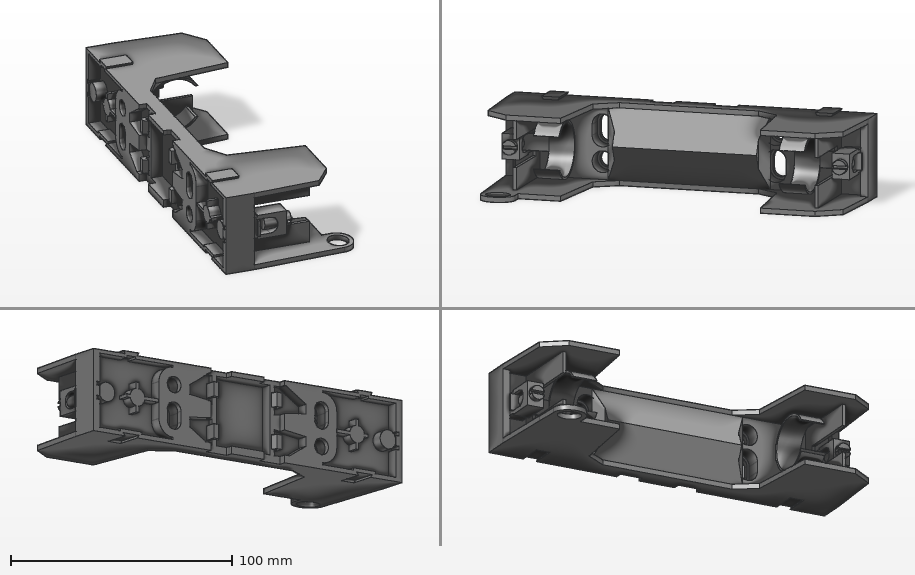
import cadquery as cq
LENGTH = 171.5
HEIGHT = 38.3
HALF_LENGTH = LENGTH / 2
MID_Z = HEIGHT / 2
SIDES = (-1, 1)

BASE_DEPTH = 10.5
PLATE_THICKNESS = 2.4
WING_DEPTH = 53.9
TAPER_START = 13.9
END_WALL_THICKNESS = 3.5
WING_CORNER = (84.15, 46.0)
WING_OUTER_X = 73.3
WING_INNER_X = 47.4
WING_FOOT = (43.5, 17.2)
SADDLE_HALF_WIDTH = 33.0

PARTITION_X = 71.46
PARTITION_THICKNESS = 1.5
PARTITION_DEPTH = 46.0
PARTITION_SLOT = 12.9

RIDGE_DEPTH = 17.7
RIDGE_HALF_LENGTH = 34.1
RIDGE_SHOULDER_DEPTH = 14.8

EYELET_X = 75.5
EYELET_END_Y = 65.5
EYELET_HALF_WIDTH = 8.0
EYELET_HALF_DEPTH = 6.9
EYELET_HOLE_HALF_WIDTH = 5.7
EYELET_HOLE_HALF_DEPTH = 4.8
EYELET_Y = EYELET_END_Y - EYELET_HALF_DEPTH

POCKET_DEPTH = 5.8
POCKET_INNER_X = 41.7
POCKET_BOTTOM = 2.0
POCKET_TOP = 36.5
PLATFORM_X = 49.4
PLATFORM_BOTTOM = 3.1
PLATFORM_TOP = 35.7
PLATFORM_CORNER_RADIUS = 7.7
WALL_NOTCH_DEPTH = 1.5
WALL_NOTCH_WIDTH = 8.2
WALL_NOTCH_RIB = 4.8

BOSS_X = 78.2
BOSS_RADIUS = 4.5
BOSS_SETBACK = 0.3
CROSS_X = 61.0
CROSS_RADIUS = 4.1
CROSS_FIN_REACH = 7.0
CROSS_END_FIN_REACH = 6.0
FIN_THICKNESS = 1.5

MOUNT_X = 41.0
MOUNT_RADIUS = 3.8
ROUND_HOLE_OFFSET = 8.5
SLOT_OFFSET = 5.8
SLOT_LENGTH = 12.7
MOUNT_PLATE_THICKNESS = 2.5
MOUNT_COUNTERBORE = 1.2

RECESS_DEPTH = 3.6
RECESS_OUTER_X = 20.5
RECESS_INNER_X = 9.5
RECESS_LIP_X = 9.1
RECESS_LIP_DEPTH = 1.9
CENTRE_POCKET_HALF_WIDTH = 14.8
CENTRE_POCKET_DEPTH = 9.1
CENTRE_POCKET_BOTTOM = 3.6
CENTRE_POCKET_TOP = 36.0
HOOK_OUTER_X = 18.9
HOOK_INNER_X = 17.5
HOOK_TIP_X = 14.8
HOOK_END_X = 16.1
HOOK_UNDERCUT_DEPTH = 2.2
HOOK_OFFSET = 9.8
HOOK_WIDTH = 6.7
HOOK_POCKET_INNER_X = 17.3
HOOK_POCKET_OUTER_X = 32.3
HOOK_POCKET_SLOPE = 0.64
HOOK_POCKET_NEAR = 3.5
HOOK_POCKET_FAR_NEAR = 5.3
HOOK_POCKET_FAR = 9.8

DOVETAIL_X = 64.9
DOVETAIL_HEIGHT = 1.4
DOVETAIL_LENGTH = 13.0
DOVETAIL_HALF_WIDTH = 4.3
DOVETAIL_NECK_HALF_WIDTH = 3.5
DOVETAIL_RELIEF_WIDTH = 4.5
DOVETAIL_RELIEF_HEIGHT = 1.0
SOCKET_PAD_HALF_WIDTH = 6.0
SOCKET_PAD_TOP = 3.1

CAGE_LENGTH = 2 * (HALF_LENGTH - END_WALL_THICKNESS - BOSS_X)
CAGE_WIDTH = 11.8
CAGE_DEPTH = 30.9
CAGE_FOOT_WIDTH = 10.5
CAGE_FOOT_DEPTH = 16.8
CAGE_OPENING_WIDTH = 7.9
CAGE_OPENING_END = 26.8
SCREW_DIAMETER = 6.7
SCREW_START = 20.6
SCREW_END = 33.6
SCREW_SLOT_WIDTH = 1.5
SCREW_SLOT_DEPTH = 2.0
BAR_WIDTH = CAGE_OPENING_WIDTH
BAR_THICKNESS = 1.0
BAR_START = 16.5
BAR_OUTER_X = 83.9

CLIP_INNER_X = 52.2
CLIP_LENGTH = 12.0
CLIP_OUTER_RADIUS = 13.5
CLIP_INNER_RADIUS = CLIP_OUTER_RADIUS - BAR_THICKNESS
CLIP_Y = BAR_START + CLIP_OUTER_RADIUS
CLIP_MOUTH = 15.5


def block(x_range, y_range, z_range):
    """Box between two limits along each axis, given in either order."""
    lows = [min(limits) for limits in (x_range, y_range, z_range)]
    sizes = [abs(limits[1] - limits[0]) for limits in (x_range, y_range, z_range)]
    return cq.Workplane("XY").box(*sizes, centered=False).translate(tuple(lows))


def centred(middle, width):
    """Limits of a span of the given width about its middle."""
    return (middle - width / 2, middle + width / 2)


def front_profile(y_start, y_end):
    """Workplane in X and Z at y_start, with the distance that extrudes it to y_end."""
    return cq.Workplane("XZ", origin=(0, y_start, 0)), y_start - y_end


def post(x, z, radius, y_start, y_end):
    """Round bar along Y."""
    plane, distance = front_profile(y_start, y_end)
    return plane.center(x, z).circle(radius).extrude(distance)


def prism(points, y_start, y_end):
    """Polygon in X and Z drawn out along Y."""
    plane, distance = front_profile(y_start, y_end)
    return plane.polyline(points).close().extrude(distance)


def side_plate(z_bottom):
    """U-shaped side plate with two tapered wings."""
    half = [
        (HALF_LENGTH, 0),
        (HALF_LENGTH, TAPER_START),
        WING_CORNER,
        (WING_OUTER_X, WING_DEPTH),
        (WING_INNER_X, WING_DEPTH),
        WING_FOOT,
        (SADDLE_HALF_WIDTH, BASE_DEPTH),
    ]
    mirrored = [(-x, y) for x, y in reversed(half)]
    outline = cq.Workplane("XY", origin=(0, 0, z_bottom)).polyline(half + mirrored).close()
    return outline.extrude(PLATE_THICKNESS)


def eyelet():
    """Tab with an elliptical end that continues the outer edge of the lower plate."""
    points = [
        (EYELET_X - EYELET_HALF_WIDTH, WING_CORNER[1]),
        (EYELET_X - EYELET_HALF_WIDTH, EYELET_Y),
        (EYELET_X + EYELET_HALF_WIDTH, EYELET_Y),
        WING_CORNER,
    ]
    stem = cq.Workplane("XY").polyline(points).close().extrude(PLATE_THICKNESS)
    return stem.union(ellipse_plate(EYELET_HALF_WIDTH, EYELET_HALF_DEPTH))


def eyelet_hole():
    return ellipse_plate(EYELET_HOLE_HALF_WIDTH, EYELET_HOLE_HALF_DEPTH)


def ellipse_plate(half_width, half_depth):
    """Elliptical disc about the eyelet centre, as thick as the plate."""
    centre = cq.Workplane("XY").center(EYELET_X, EYELET_Y)
    return centre.ellipse(half_width, half_depth).extrude(PLATE_THICKNESS)


def ridge():
    """Roof-shaped ridge on the back of the base, with sloped shoulders at its ends."""
    foot_x = RIDGE_HALF_LENGTH + RIDGE_SHOULDER_DEPTH - BASE_DEPTH
    roof = (
        cq.Workplane("YZ", origin=(-foot_x, 0, 0))
        .polyline(
            [
                (BASE_DEPTH, PLATE_THICKNESS),
                (RIDGE_DEPTH, MID_Z),
                (BASE_DEPTH, HEIGHT - PLATE_THICKNESS),
            ]
        )
        .close()
        .extrude(2 * foot_x)
    )
    half = [
        (foot_x, BASE_DEPTH),
        (RIDGE_HALF_LENGTH, RIDGE_SHOULDER_DEPTH),
        (RIDGE_HALF_LENGTH, RIDGE_DEPTH),
    ]
    mirrored = [(-x, y) for x, y in reversed(half)]
    footprint = cq.Workplane("XY").polyline(half + mirrored).close().extrude(HEIGHT)
    return roof.intersect(footprint)


def end_wall(side):
    span = (side * (HALF_LENGTH - END_WALL_THICKNESS), side * HALF_LENGTH)
    return block(span, (0, TAPER_START), (0, HEIGHT))


def partition(side):
    """Wall across a wing, open in the middle for the contact."""
    x_range = centred(side * PARTITION_X, PARTITION_THICKNESS)
    wall = block(x_range, (BASE_DEPTH, PARTITION_DEPTH), (0, HEIGHT))
    slot = block(x_range, (BAR_START, PARTITION_DEPTH), centred(MID_Z, PARTITION_SLOT))
    return wall.cut(slot)


def end_pocket(side):
    """Front pocket that wraps round the rounded corners of the raised mounting platform."""
    inner_wall_x = HALF_LENGTH - END_WALL_THICKNESS
    pocket = block(
        (side * inner_wall_x, side * POCKET_INNER_X),
        (0, POCKET_DEPTH),
        (POCKET_BOTTOM, POCKET_TOP),
    )
    platform = (
        block((side * PLATFORM_X, 0), (0, POCKET_DEPTH), (PLATFORM_BOTTOM, PLATFORM_TOP))
        .edges("|Y")
        .edges(">X" if side > 0 else "<X")
        .fillet(PLATFORM_CORNER_RADIUS)
    )
    return pocket.cut(platform)


def wall_notches(side):
    """Pair of notches in the end wall, either side of a rib level with the boss."""
    inner_wall_x = HALF_LENGTH - END_WALL_THICKNESS
    x_range = (side * inner_wall_x, side * (inner_wall_x + WALL_NOTCH_DEPTH))
    notch = block(x_range, (0, POCKET_DEPTH), centred(MID_Z, WALL_NOTCH_WIDTH))
    rib = block(x_range, (0, POCKET_DEPTH), centred(MID_Z, WALL_NOTCH_RIB))
    return notch.cut(rib)


def pocket_posts(side):
    """Round boss, and finned post joined to the platform by a rib."""
    y_range = (BOSS_SETBACK, POCKET_DEPTH)
    boss = post(side * BOSS_X, MID_Z, BOSS_RADIUS, *y_range)
    core = post(side * CROSS_X, MID_Z, CROSS_RADIUS, *y_range)
    upright_fin = block(
        centred(side * CROSS_X, FIN_THICKNESS), y_range, centred(MID_Z, 2 * CROSS_FIN_REACH)
    )
    rib = block(
        (side * (CROSS_X + CROSS_END_FIN_REACH), side * PLATFORM_X),
        y_range,
        centred(MID_Z, FIN_THICKNESS),
    )
    return boss.union(core).union(upright_fin).union(rib)


def mounting_holes(side):
    """Round hole and slot, counterbored from the back; they swap places from end to end."""
    through = hole_and_slot(side, 0, 0, MOUNT_PLATE_THICKNESS)
    return through.union(hole_and_slot(side, MOUNT_COUNTERBORE, MOUNT_PLATE_THICKNESS, BASE_DEPTH))


def hole_and_slot(side, margin, y_start, y_end):
    """Round hole and slot, each wider all round by the given margin."""
    x = side * MOUNT_X
    radius = MOUNT_RADIUS + margin
    hole = post(x, MID_Z - side * ROUND_HOLE_OFFSET, radius, y_start, y_end)
    plane, distance = front_profile(y_start, y_end)
    slot_centre = plane.center(x, MID_Z + side * SLOT_OFFSET)
    return hole.union(slot_centre.slot2D(SLOT_LENGTH + 2 * margin, 2 * radius, 90).extrude(distance))


def rail_recess(side):
    """Groove across the front face, slightly narrower at its bottom than at its mouth."""
    points = [
        (side * RECESS_OUTER_X, 0),
        (side * RECESS_LIP_X, 0),
        (side * RECESS_LIP_X, RECESS_LIP_DEPTH),
        (side * RECESS_INNER_X, RECESS_DEPTH),
        (side * RECESS_OUTER_X, RECESS_DEPTH),
    ]
    return cq.Workplane("XY").polyline(points).close().extrude(HEIGHT)


def centre_pocket():
    return block(
        (-CENTRE_POCKET_HALF_WIDTH, CENTRE_POCKET_HALF_WIDTH),
        (0, CENTRE_POCKET_DEPTH),
        (CENTRE_POCKET_BOTTOM, CENTRE_POCKET_TOP),
    )


def hook_pocket(side, level):
    """Tapered pocket beside a snap hook."""
    outer_z = CENTRE_POCKET_TOP if level > 0 else CENTRE_POCKET_BOTTOM
    far_z = MID_Z + level * HOOK_POCKET_FAR
    corner_x = HOOK_POCKET_OUTER_X - abs(outer_z - far_z) / HOOK_POCKET_SLOPE
    points = [
        (side * HOOK_POCKET_INNER_X, MID_Z + level * HOOK_POCKET_NEAR),
        (side * HOOK_POCKET_OUTER_X, MID_Z + level * HOOK_POCKET_FAR_NEAR),
        (side * HOOK_POCKET_OUTER_X, far_z),
        (side * corner_x, outer_z),
        (side * HOOK_POCKET_INNER_X, outer_z),
    ]
    return prism(points, 0, POCKET_DEPTH)


def snap_hook(side, level):
    """Barbed hook that reaches towards the middle of the rail recess."""
    points = [
        (side * HOOK_OUTER_X, POCKET_DEPTH),
        (side * HOOK_INNER_X, POCKET_DEPTH),
        (side * HOOK_INNER_X, HOOK_UNDERCUT_DEPTH),
        (side * HOOK_TIP_X, HOOK_UNDERCUT_DEPTH),
        (side * HOOK_END_X, 0),
        (side * HOOK_OUTER_X, 0),
    ]
    z_start = MID_Z + level * HOOK_OFFSET - HOOK_WIDTH / 2
    return cq.Workplane("XY", origin=(0, 0, z_start)).polyline(points).close().extrude(HOOK_WIDTH)


def dovetail(side, z_base):
    """Dovetail that widens upwards from z_base."""
    x = side * DOVETAIL_X
    points = [
        (x - DOVETAIL_NECK_HALF_WIDTH, z_base),
        (x + DOVETAIL_NECK_HALF_WIDTH, z_base),
        (x + DOVETAIL_HALF_WIDTH, z_base + DOVETAIL_HEIGHT),
        (x - DOVETAIL_HALF_WIDTH, z_base + DOVETAIL_HEIGHT),
    ]
    return prism(points, 0, DOVETAIL_LENGTH)


def dovetail_relief(side):
    """Groove in the pocket ceiling under the dovetail."""
    return block(
        centred(side * DOVETAIL_X, DOVETAIL_RELIEF_WIDTH),
        (0, POCKET_DEPTH),
        (POCKET_TOP, POCKET_TOP + DOVETAIL_RELIEF_HEIGHT),
    )


def socket_pad(side):
    """Thicker pocket floor round the dovetail socket."""
    return block(
        centred(side * DOVETAIL_X, 2 * SOCKET_PAD_HALF_WIDTH),
        (0, POCKET_DEPTH),
        (0, SOCKET_PAD_TOP),
    )


def build_housing():
    base = block((-HALF_LENGTH, HALF_LENGTH), (0, BASE_DEPTH), (0, HEIGHT))
    body = base.union(side_plate(0)).union(side_plate(HEIGHT - PLATE_THICKNESS))
    body = body.union(ridge()).union(eyelet()).cut(eyelet_hole())
    for side in SIDES:
        body = body.union(end_wall(side)).union(partition(side))
        body = body.cut(end_pocket(side)).cut(wall_notches(side))
        body = body.cut(mounting_holes(side)).cut(rail_recess(side))
        body = body.union(pocket_posts(side)).union(socket_pad(side))
        body = body.union(dovetail(side, HEIGHT)).cut(dovetail(side, 0)).cut(dovetail_relief(side))
    body = body.cut(centre_pocket())
    for side in SIDES:
        for level in SIDES:
            body = body.cut(hook_pocket(side, level)).union(snap_hook(side, level))
    return body


def build_cage(side):
    """Terminal cage with a round-ended opening along X and a screw hole along Y."""
    x_range = centred(side * BOSS_X, CAGE_LENGTH)
    foot = block(x_range, (BASE_DEPTH, CAGE_FOOT_DEPTH), centred(MID_Z, CAGE_FOOT_WIDTH))
    body = block(x_range, (CAGE_FOOT_DEPTH, CAGE_DEPTH), centred(MID_Z, CAGE_WIDTH))
    opening_radius = CAGE_OPENING_WIDTH / 2
    arc_centre_y = CAGE_OPENING_END - opening_radius
    opening = block(x_range, (BAR_START, arc_centre_y), centred(MID_Z, CAGE_OPENING_WIDTH))
    round_end = (
        cq.Workplane("YZ", origin=(x_range[0], arc_centre_y, MID_Z))
        .circle(opening_radius)
        .extrude(CAGE_LENGTH)
    )
    screw_hole = post(side * BOSS_X, MID_Z, SCREW_DIAMETER / 2, SCREW_START, CAGE_DEPTH)
    return foot.union(body).cut(opening.union(round_end)).cut(screw_hole)


def build_screw(side):
    shank = post(side * BOSS_X, MID_Z, SCREW_DIAMETER / 2, SCREW_START, SCREW_END)
    slot = block(
        centred(side * BOSS_X, SCREW_DIAMETER),
        (SCREW_END - SCREW_SLOT_DEPTH, SCREW_END),
        centred(MID_Z, SCREW_SLOT_WIDTH),
    )
    return shank.cut(slot)


def fuse_clip(side):
    """C-shaped clip with its mouth towards the back and its base on the bar."""
    x_range = (side * CLIP_INNER_X, side * (CLIP_INNER_X + CLIP_LENGTH))
    ring = (
        cq.Workplane("YZ", origin=(min(x_range), CLIP_Y, MID_Z))
        .circle(CLIP_OUTER_RADIUS)
        .circle(CLIP_INNER_RADIUS)
        .extrude(CLIP_LENGTH)
    )
    mouth = block(x_range, (CLIP_Y, CLIP_Y + CLIP_OUTER_RADIUS), centred(MID_Z, CLIP_MOUTH))
    return ring.cut(mouth)


def build_contact(side):
    """Flat bar through the lower edge of the cage opening, ending in a fuse clip."""
    bar = block(
        (side * CLIP_INNER_X, side * BAR_OUTER_X),
        (BAR_START, BAR_START + BAR_THICKNESS),
        centred(MID_Z, BAR_WIDTH),
    )
    return bar.union(fuse_clip(side))


housing = build_housing()
cages = [build_cage(side) for side in SIDES]
screws = [build_screw(side) for side in SIDES]
contacts = [build_contact(side) for side in SIDES]

result = cq.Compound.makeCompound(
    [
        housing.val(),
        *[cage.val() for cage in cages],
        *[screw.val() for screw in screws],
        *[contact.val() for contact in contacts],
    ]
)